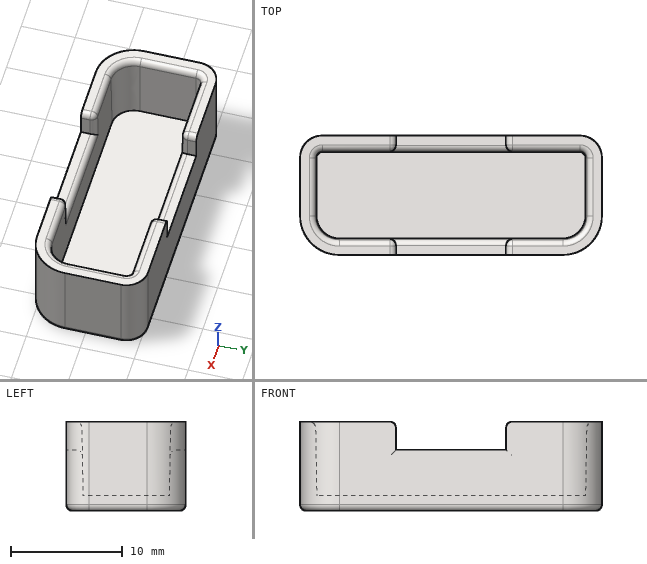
import cadquery as cq
import math

length = 27.0
width = 10.7
height = 8.0
front_corner_radius = 3.5
back_corner_radius = 2.0
bottom_edge_radius = 0.6

rim_wall = 1.38
floor_thickness = 1.4
draft_angle = 1.0

notch_width = 9.83
notch_depth = 2.5
rim_edge_radius = 0.57

slack = 0.003


def corner_middle(x, y, x_side, y_side, radius):
    """Middle point of the arc that rounds the square corner on the given sides."""
    inset = radius * (1 - math.sqrt(0.5))
    return (x_side * (x - inset), y_side * (y - inset))


def tray_outline(inset, z):
    """Tray outline moved inward by inset, with corners concentric to the outer ones."""
    x = length / 2 - inset
    y = width / 2 - inset
    front = front_corner_radius - inset
    back = back_corner_radius - inset
    return (
        cq.Workplane("XY", origin=(0, 0, z))
        .moveTo(-x + front, -y)
        .lineTo(x - front, -y)
        .threePointArc(corner_middle(x, y, 1, -1, front), (x, -y + front))
        .lineTo(x, y - back)
        .threePointArc(corner_middle(x, y, 1, 1, back), (x - back, y))
        .lineTo(-x + back, y)
        .threePointArc(corner_middle(x, y, -1, 1, back), (-x, y - back))
        .lineTo(-x, -y + front)
        .threePointArc(corner_middle(x, y, -1, -1, front), (-x + front, -y))
        .close()
    )


def edge_box(half_x, half_y, bottom, top):
    """Selector for the edges that lie wholly inside a box centred on the Z axis."""
    return cq.selectors.BoxSelector(
        (-half_x - slack, -half_y - slack, bottom - slack),
        (half_x + slack, half_y + slack, top + slack),
        boundingbox=True,
    )


body = tray_outline(0, 0).extrude(height).faces("<Z").edges().fillet(bottom_edge_radius)

cavity_depth = height - floor_thickness
cavity = tray_outline(rim_wall, height).extrude(-cavity_depth, taper=draft_angle)

notch_floor = height - notch_depth
notch = (
    cq.Workplane("XY", origin=(0, 0, notch_floor))
    .rect(notch_width, width)
    .extrude(notch_depth)
)
tray = body.cut(cavity).cut(notch)

notch_top_edges = edge_box(notch_width / 2, width / 2, height, height)
half_wall = rim_wall / 2
inner_rim_edges = edge_box(length / 2 - half_wall, width / 2 - half_wall, notch_floor, height)
result = tray.edges(notch_top_edges + inner_rim_edges).fillet(rim_edge_radius)